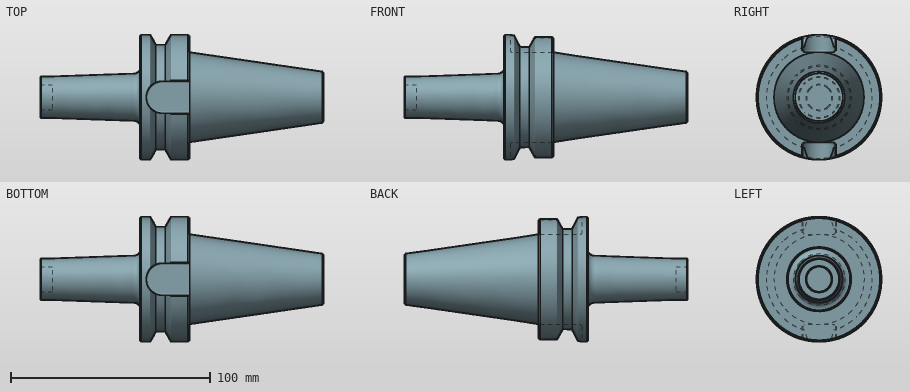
import cadquery as cq
import math

length = 142.4

tip_radius = 21.0 / 2
tip_length = 4.8
tip_chamfer = 0.4
shank_radius = 23.8 / 2
cone_end = 45.5
fillet_start = 46.8
fillet_radius = 3.7

bore_diameter = 12.5
bore_depth = 6.0
bore_chamfer = 0.4

flange_start = 50.0
flange_end = 75.0
flange_radius = 63.0 / 2
flange_chamfer = 0.9
recess_radius = 16.2
groove_radius = 26.5
groove_start = 58.1
groove_end = 62.8
groove_angle = math.radians(30)
groove_edge_radius = 0.4

gauge_radius = 22.6
taper_slope = 7 / 48
taper_end_chamfer = 0.9

slot_width = 16.1
slot_start = 53.3
slot_floor = 22.6
slot_floor_fillet = 1.0
slot_bevel = 0.5

clearance = 1.4


def make_body():
    """Revolve the half section of the holder about the X axis."""
    fillet_end = fillet_start + fillet_radius
    fillet_outer = shank_radius + fillet_radius
    fillet_mid = (
        fillet_start + fillet_radius * math.sin(math.pi / 4),
        fillet_outer - fillet_radius * math.cos(math.pi / 4),
    )
    groove_run = (flange_radius - groove_radius) * math.tan(groove_angle)
    end_radius = gauge_radius - (length - flange_end) * taper_slope
    chamfer_radius = end_radius + taper_end_chamfer * taper_slope
    section = (
        cq.Workplane("XY")
        .moveTo(0, 0)
        .lineTo(0, tip_radius - tip_chamfer)
        .lineTo(tip_chamfer, tip_radius)
        .lineTo(tip_length, tip_radius)
        .lineTo(cone_end, shank_radius)
        .lineTo(fillet_start, shank_radius)
        .threePointArc(fillet_mid, (fillet_end, fillet_outer))
        .lineTo(flange_start, recess_radius)
        .lineTo(flange_start, flange_radius - flange_chamfer)
        .lineTo(flange_start + flange_chamfer, flange_radius)
        .lineTo(groove_start - groove_run, flange_radius)
        .lineTo(groove_start, groove_radius)
        .lineTo(groove_end, groove_radius)
        .lineTo(groove_end + groove_run, flange_radius)
        .lineTo(flange_end - flange_chamfer, flange_radius)
        .lineTo(flange_end, flange_radius - flange_chamfer)
        .lineTo(flange_end, gauge_radius)
        .lineTo(length - taper_end_chamfer, chamfer_radius)
        .lineTo(length, end_radius - taper_end_chamfer)
        .lineTo(length, 0)
        .close()
    )
    body = section.revolve(360, (0, 0, 0), (1, 0, 0))
    groove_mouth = cq.selectors.BoxSelector(
        (groove_start - groove_run - clearance, -flange_radius - clearance, -flange_radius - clearance),
        (groove_end + groove_run + clearance, flange_radius + clearance, flange_radius + clearance),
    )
    rim_edges = cq.selectors.RadiusNthSelector(-1)
    return body.edges(groove_mouth).edges("%CIRCLE").edges(rim_edges).fillet(groove_edge_radius)


def make_bore():
    """Blind bore with a chamfered mouth."""
    bore = cq.Workplane("YZ").circle(bore_diameter / 2).extrude(bore_depth)
    mouth = (
        cq.Workplane("YZ")
        .circle(bore_diameter / 2 + bore_chamfer)
        .workplane(offset=bore_chamfer)
        .circle(bore_diameter / 2)
        .loft()
    )
    return bore.union(mouth)


def make_slot():
    """Drive slot at +Z: round inner end, open toward the taper, filleted floor."""
    half_width = slot_width / 2
    arc_center = slot_start + half_width
    return (
        cq.Workplane("XY", origin=(0, 0, slot_floor))
        .moveTo(flange_end, -half_width)
        .lineTo(arc_center, -half_width)
        .threePointArc((slot_start, 0), (arc_center, half_width))
        .lineTo(flange_end, half_width)
        .close()
        .extrude(flange_radius - slot_floor + clearance)
        .faces("<Z")
        .edges("not(>X)")
        .fillet(slot_floor_fillet)
    )


def make_slot_bevels():
    """Bevels where the +Z slot breaks through the rear rim: outer edges and rear edges."""
    half_width = slot_width / 2
    wide = half_width + slot_bevel
    rim_edge = math.sqrt(flange_radius**2 - half_width**2)
    outer = (
        cq.Workplane("YZ", origin=(groove_end, 0, 0))
        .polyline([
            (-half_width, rim_edge - slot_bevel),
            (half_width, rim_edge - slot_bevel),
            (wide, rim_edge),
            (wide, flange_radius),
            (-wide, flange_radius),
            (-wide, rim_edge),
        ])
        .close()
        .extrude(flange_end - groove_end)
    )
    rear = (
        cq.Workplane("XY", origin=(0, 0, slot_floor + slot_floor_fillet))
        .polyline([
            (flange_end - slot_bevel, -half_width),
            (flange_end, -wide),
            (flange_end, wide),
            (flange_end - slot_bevel, half_width),
        ])
        .close()
        .extrude(flange_radius - slot_floor)
    )
    return outer.union(rear)


slot = make_slot().union(make_slot_bevels())
opposite_slot = slot.rotate((0, 0, 0), (1, 0, 0), 180)
result = make_body().cut(make_bore()).cut(slot).cut(opposite_slot)